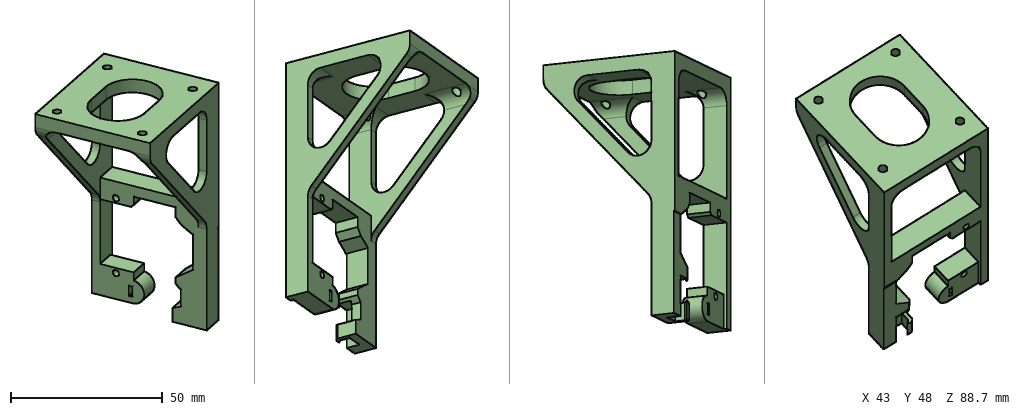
import cadquery as cq

WIDTH = 43.0
DEPTH = 48.0
HEIGHT = 88.7

MAST_DEPTH = 8.5
PLATE_THICKNESS = 5.0
SIDE_THICKNESS = 3.1
CORNER_RADIUS = 5.0
BAR_TOP = 47.1
BAR_BOTTOM = 43.1
STRUT_FRONT_Z = 81.8
STRUT_ROOT_Z = 40.0
BRACKET_BOTTOM = STRUT_ROOT_Z - CORNER_RADIUS
WINDOW_TIP_Y = -43.3

PLATE_SLOT_LENGTH = 30.2
PLATE_SLOT_WIDTH = 20.0
PLATE_SLOT_Y = -25.4
PLATE_HOLE_DIAMETER = 2.9
PLATE_HOLE_SPACING = 31.9
PLATE_HOLE_ROWS = (-8.0, -43.0)

PAD_END_X = 15.7
UPPER_PAD_BOTTOM = 39.0
PAD_CHAMFER = 1.0
LOWER_PAD_TOP = 14.8
LOWER_PAD_DEPTH = 7.4
LEFT_FOOT_Z = 3.1
FOOT_RADIUS = 4.35
FOOT_CENTER_X = 15.3
FOOT_CENTER_Z = LEFT_FOOT_Z + FOOT_RADIUS
PAD_HOLE_X = 9.05
PAD_HOLE_HEIGHTS = (40.9, 12.9)
PAD_HOLE_DIAMETER = 2.3
TIE_SLOT_X = 14.55
TIE_SLOT_WIDTH = 1.2
TIE_SLOT_HEIGHT = 3.8

SHOULDER_X = 33.4
SHOULDER_TOP = 39.5
SHOULDER_BOTTOM = 37.1
TOOTH_X = 31.3
TOOTH_TOP = 16.85
TOOTH_BOTTOM = 14.6
ARM_INNER_X = 37.9
ARM_INNER_TOP = 34.5
ARM_INNER_BOTTOM = 21.4
GROOVE_X = 33.3
GROOVE_TOP = 12.8
GROOVE_BOTTOM = 6.5
HOOK_X = 30.2
HOOK_TIP_Z = 5.15
ARM_BACK_STEP = 0.3
TIP_CHAMFER = 1.2

CHANNEL_LEFT_X = 31.9
CHANNEL_RIGHT_X = ARM_INNER_X
CHANNEL_FRONT_Y = -5.15
CHANNEL_TOP = 13.75
CHANNEL_FLARE = 1.2


def side_prism(points, x_start, thickness):
    """Extrude a Y-Z outline along X."""
    return cq.Workplane("YZ", origin=(x_start, 0, 0)).polyline(points).close().extrude(thickness)


def front_prism(points):
    """Extrude an X-Z outline through the mast depth, forward from the back face."""
    return cq.Workplane("XZ").polyline(points).close().extrude(MAST_DEPTH)


def upper_frame():
    """Top plate carried by two triangular side brackets, with an open space between."""
    side_outline = [
        (0, BRACKET_BOTTOM),
        (-MAST_DEPTH, BRACKET_BOTTOM),
        (-MAST_DEPTH, STRUT_ROOT_Z),
        (-DEPTH, STRUT_FRONT_Z),
        (-DEPTH, HEIGHT),
        (0, HEIGHT),
    ]
    frame = side_prism(side_outline, 0, WIDTH)
    for y, z in ((-MAST_DEPTH, STRUT_ROOT_Z), (-DEPTH, STRUT_FRONT_Z)):
        corner = cq.selectors.BoxSelector((-0.9, y - 0.4, z - 0.4), (WIDTH + 0.9, y + 0.4, z + 0.4))
        frame = frame.edges(corner).fillet(CORNER_RADIUS)

    plate_bottom = HEIGHT - PLATE_THICKNESS
    opening = (
        cq.Workplane("XY")
        .box(WIDTH - 2 * SIDE_THICKNESS, DEPTH, plate_bottom, centered=(True, False, False))
        .translate((WIDTH / 2, -DEPTH, 0))
        .edges("|Y and >Z")
        .fillet(CORNER_RADIUS)
    )
    window = side_prism(
        [(-MAST_DEPTH, BAR_TOP), (WINDOW_TIP_Y, plate_bottom), (-MAST_DEPTH, plate_bottom)], 0, WIDTH
    ).edges("|X").fillet(CORNER_RADIUS)
    return frame.cut(opening).cut(window)


def left_arm():
    """Cross bar end, left upright, screw pads and rounded foot."""
    upper_pad = front_prism([
        (0, BAR_TOP),
        (0, UPPER_PAD_BOTTOM),
        (PAD_END_X - PAD_CHAMFER, UPPER_PAD_BOTTOM),
        (PAD_END_X, UPPER_PAD_BOTTOM + PAD_CHAMFER),
        (PAD_END_X, BAR_TOP),
    ])
    upright = front_prism([
        (0, BAR_TOP), (0, LEFT_FOOT_Z), (SIDE_THICKNESS, LEFT_FOOT_Z), (SIDE_THICKNESS, BAR_TOP)
    ])
    lower_pad = front_prism([
        (0, LEFT_FOOT_Z),
        (FOOT_CENTER_X, LEFT_FOOT_Z),
        (PAD_END_X, FOOT_CENTER_Z),
        (PAD_END_X, LOWER_PAD_TOP),
        (0, LOWER_PAD_TOP),
    ])
    foot = cq.Workplane("XZ").center(FOOT_CENTER_X, FOOT_CENTER_Z).circle(FOOT_RADIUS).extrude(MAST_DEPTH)
    rear_step_depth = MAST_DEPTH - LOWER_PAD_DEPTH
    rear_step = cq.Workplane("XY").box(
        FOOT_CENTER_X + FOOT_RADIUS - SIDE_THICKNESS, rear_step_depth, LOWER_PAD_TOP, centered=False
    ).translate((SIDE_THICKNESS, -rear_step_depth, 0))
    pads = upper_pad.union(lower_pad).union(foot).cut(rear_step)
    screw_holes = (
        cq.Workplane("XZ")
        .pushPoints([(PAD_HOLE_X, z) for z in PAD_HOLE_HEIGHTS])
        .circle(PAD_HOLE_DIAMETER / 2)
        .extrude(MAST_DEPTH)
    )
    tie_slot = (
        cq.Workplane("XZ")
        .center(TIE_SLOT_X, FOOT_CENTER_Z)
        .rect(TIE_SLOT_WIDTH, TIE_SLOT_HEIGHT)
        .extrude(MAST_DEPTH)
    )
    return pads.union(upright).cut(screw_holes).cut(tie_slot)


def tip_chamfer(tip_x, bottom, top):
    """Wedge that bevels the rear upright edge of a tip."""
    back_y = -ARM_BACK_STEP
    return (
        cq.Workplane("XY", origin=(0, 0, bottom))
        .polyline([(tip_x, back_y), (tip_x + TIP_CHAMFER, back_y), (tip_x, back_y - TIP_CHAMFER)])
        .close()
        .extrude(top - bottom)
    )


def right_arm():
    """Cross bar end and right upright with its tooth, groove and hook."""
    arm = front_prism([
        (PAD_END_X, BAR_TOP),
        (PAD_END_X, BAR_BOTTOM),
        (TOOTH_X, BAR_BOTTOM),
        (TOOTH_X, SHOULDER_TOP),
        (SHOULDER_X, SHOULDER_BOTTOM),
        (ARM_INNER_X, ARM_INNER_TOP),
        (ARM_INNER_X, ARM_INNER_BOTTOM),
        (TOOTH_X, TOOTH_TOP),
        (TOOTH_X, TOOTH_BOTTOM),
        (GROOVE_X, GROOVE_TOP),
        (GROOVE_X, GROOVE_BOTTOM),
        (HOOK_X, HOOK_TIP_Z),
        (HOOK_X, 0),
        (WIDTH, 0),
        (WIDTH, BAR_TOP),
    ])
    back_step = cq.Workplane("XY").box(
        WIDTH - HOOK_X, ARM_BACK_STEP, ARM_INNER_TOP, centered=False
    ).translate((HOOK_X, -ARM_BACK_STEP, 0))
    channel = (
        cq.Workplane("XY")
        .polyline([
            (CHANNEL_LEFT_X, CHANNEL_FRONT_Y),
            (CHANNEL_LEFT_X, -ARM_BACK_STEP - CHANNEL_FLARE),
            (CHANNEL_LEFT_X + CHANNEL_FLARE, -ARM_BACK_STEP),
            (CHANNEL_RIGHT_X, -ARM_BACK_STEP),
            (CHANNEL_RIGHT_X, CHANNEL_FRONT_Y),
        ])
        .close()
        .extrude(CHANNEL_TOP)
    )
    return (
        arm.cut(back_step)
        .cut(tip_chamfer(HOOK_X, 0, GROOVE_BOTTOM))
        .cut(tip_chamfer(TOOTH_X, GROOVE_TOP, ARM_INNER_BOTTOM))
        .cut(channel)
    )


def plate_openings():
    """Central slot and four screw holes through the top plate."""
    plate_underside = cq.Workplane("XY", origin=(WIDTH / 2, 0, HEIGHT - PLATE_THICKNESS))
    slot = (
        plate_underside.center(0, PLATE_SLOT_Y)
        .slot2D(PLATE_SLOT_LENGTH, PLATE_SLOT_WIDTH, 90)
        .extrude(PLATE_THICKNESS)
    )
    holes = (
        plate_underside.workplane(offset=-CORNER_RADIUS)
        .pushPoints([(side * PLATE_HOLE_SPACING / 2, y) for side in (-1, 1) for y in PLATE_HOLE_ROWS])
        .circle(PLATE_HOLE_DIAMETER / 2)
        .extrude(PLATE_THICKNESS + CORNER_RADIUS)
    )
    return slot.union(holes)


result = upper_frame().union(left_arm()).union(right_arm()).cut(plate_openings())